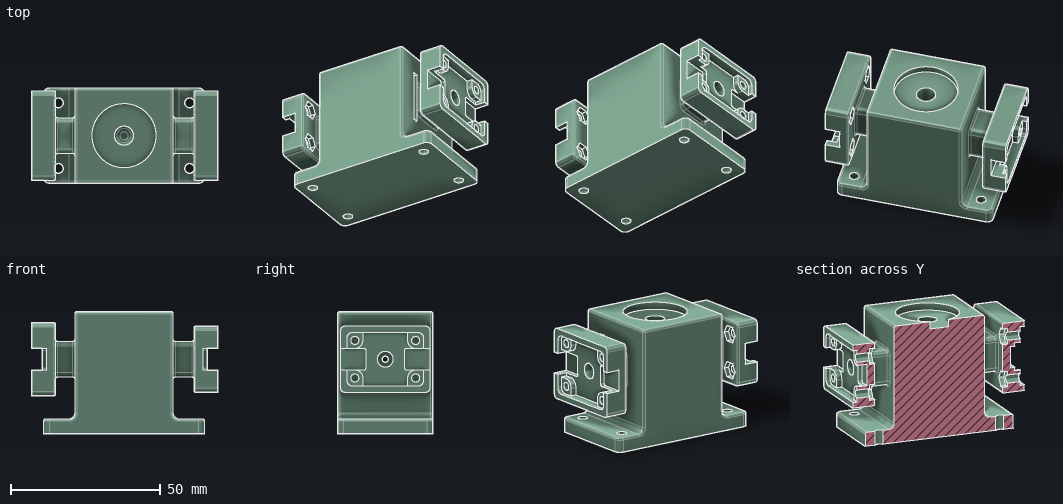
import cadquery as cq
import math

BASE_LENGTH = 54.0
DEPTH = 32.0
BASE_HEIGHT = 5.0
BLOCK_LENGTH = 33.0
TOTAL_HEIGHT = 41.0
BASE_CORNER_RADIUS = 2.0
STEP_FILLET = 2.0
EDGE_FILLET = 0.75
MOUNT_HOLE_DIAMETER = 3.2
MOUNT_HOLE_X = 22.0
MOUNT_HOLE_Y = 11.0

RECESS_DIAMETER = 21.5
RECESS_DEPTH = 2.5
TAPER_TOP_DIAMETER = 6.4
TAPER_BOTTOM_DIAMETER = 4.75
TAPER_FLOOR_DIAMETER = 2.7
TAPER_DEPTH = 10.0

AXIS_HEIGHT = 25.0
PLATE_THICKNESS = 8.0
PLATE_WIDTH = 30.0
PLATE_CORNER_RADIUS = 1.5
PLATE_EDGE_FILLET = 0.5
LEFT_PLATE_HEIGHT = 24.6
RIGHT_PLATE_HEIGHT = 22.2
LEFT_ARM_LENGTH = 6.5
RIGHT_ARM_LENGTH = 7.0
ARM_SIZE = 12.0
ARM_CORNER_RADIUS = 1.5
ARM_END_FILLET = 0.7

PLATE_WALL = 2.1
POCKET_DEPTH = 3.5
POCKET_CORNER_RADIUS = 2.0
BOSS_SIZE = 5.4
BOSS_HEIGHT = 2.0
BOSS_CORNER_RADIUS = BOSS_SIZE / 2
SCREW_HOLE_DIAMETER = 2.7
NUT_ACROSS_FLATS = 5.3
NUT_DEPTH = 1.75
NOTCH_HEIGHT = 7.3
NOTCH_LENGTH = 8.5
NOTCH_DEPTH = 5.0
NOTCH_CORNER_RADIUS = 0.7

ARM_BORE_DIAMETER = 5.3
CROSS_BORE_DIAMETER = 2.0

SLOT_WIDTH = 1.75
SLOT_CENTER_Y = 7.6
SLOT_LENGTH = 18.0
SLOT_DEPTH = 2.0

SELECT_MARGIN = 0.1


def make_body():
    """Block on a flange, with a fillet at each step and rounded outer edges."""
    half_base = BASE_LENGTH / 2
    half_block = BLOCK_LENGTH / 2
    profile = [
        (-half_base, 0),
        (half_base, 0),
        (half_base, BASE_HEIGHT),
        (half_block, BASE_HEIGHT),
        (half_block, TOTAL_HEIGHT),
        (-half_block, TOTAL_HEIGHT),
        (-half_block, BASE_HEIGHT),
        (-half_base, BASE_HEIGHT),
    ]
    body = cq.Workplane("XZ").polyline(profile).close().extrude(DEPTH / 2, both=True)

    step_corners = cq.selectors.BoxSelector(
        (-half_block - SELECT_MARGIN, -DEPTH, BASE_HEIGHT - SELECT_MARGIN),
        (half_block + SELECT_MARGIN, DEPTH, BASE_HEIGHT + SELECT_MARGIN),
    )
    body = body.edges("|Y").edges(step_corners).fillet(STEP_FILLET)
    body = body.edges("|Z").edges("<X or >X").fillet(BASE_CORNER_RADIUS)
    above_bottom = cq.selectors.BoxSelector(
        (-BASE_LENGTH, -DEPTH, BASE_HEIGHT - SELECT_MARGIN),
        (BASE_LENGTH, DEPTH, TOTAL_HEIGHT + SELECT_MARGIN),
    )
    side_outline = body.faces("<Y or >Y").edges(above_bottom)
    body = side_outline.add(body.faces(">Z").edges()).fillet(EDGE_FILLET)

    return (
        body.faces("<Z")
        .workplane(origin=(0, 0, 0))
        .rect(2 * MOUNT_HOLE_X, 2 * MOUNT_HOLE_Y, forConstruction=True)
        .vertices()
        .hole(MOUNT_HOLE_DIAMETER)
    )


def make_top_recess():
    """Revolved cutter: wide flat recess above a tapered hole with a rounded bottom."""
    floor_z = TOTAL_HEIGHT - RECESS_DEPTH
    bottom_z = floor_z - TAPER_DEPTH
    floor_radius = TAPER_FLOOR_DIAMETER / 2
    wall_radius = TAPER_BOTTOM_DIAMETER / 2
    round_radius = wall_radius - floor_radius
    arc_middle = (
        floor_radius + round_radius * math.sin(math.pi / 4),
        bottom_z + round_radius * (1 - math.cos(math.pi / 4)),
    )
    return (
        cq.Workplane("XZ")
        .moveTo(0, bottom_z)
        .lineTo(floor_radius, bottom_z)
        .threePointArc(arc_middle, (wall_radius, bottom_z + round_radius))
        .lineTo(TAPER_TOP_DIAMETER / 2, floor_z)
        .lineTo(RECESS_DIAMETER / 2, floor_z)
        .lineTo(RECESS_DIAMETER / 2, TOTAL_HEIGHT)
        .lineTo(0, TOTAL_HEIGHT)
        .close()
        .revolve(360, (0, 0, 0), (0, 1, 0))
    )


def make_bracket(plate_height, arm_length):
    """Plate and arm standing on the XY plane: Z runs outward from the block, Y is height."""
    outer_z = arm_length + PLATE_THICKNESS
    pocket_floor_z = outer_z - POCKET_DEPTH
    pocket_width = PLATE_WIDTH - 2 * PLATE_WALL
    pocket_height = plate_height - 2 * PLATE_WALL

    plate = (
        cq.Workplane("XY", origin=(0, 0, arm_length))
        .rect(PLATE_WIDTH, plate_height)
        .extrude(PLATE_THICKNESS)
        .edges("|Z")
        .fillet(PLATE_CORNER_RADIUS)
        .faces("<Z")
        .edges()
        .fillet(PLATE_EDGE_FILLET)
    )
    pocket = (
        cq.Workplane("XY", origin=(0, 0, pocket_floor_z))
        .rect(pocket_width, pocket_height)
        .extrude(POCKET_DEPTH)
        .edges("|Z")
        .fillet(POCKET_CORNER_RADIUS)
    )
    screw_offset_x = (pocket_width - BOSS_SIZE) / 2
    screw_offset_y = (pocket_height - BOSS_SIZE) / 2
    screw_points = [(i * screw_offset_x, j * screw_offset_y) for i in (-1, 1) for j in (-1, 1)]
    bosses = (
        cq.Workplane("XY", origin=(0, 0, pocket_floor_z))
        .pushPoints(screw_points)
        .rect(BOSS_SIZE, BOSS_SIZE)
        .extrude(BOSS_HEIGHT)
    )
    inner_corners = cq.selectors.BoxSelector(
        (-screw_offset_x, -screw_offset_y, 0), (screw_offset_x, screw_offset_y, outer_z)
    )
    bosses = bosses.edges("|Z").edges(inner_corners).fillet(BOSS_CORNER_RADIUS)
    plate = plate.cut(pocket.cut(bosses))

    for side in (-1, 1):
        inner_end = side * (PLATE_WIDTH / 2 - NOTCH_LENGTH)
        notch = (
            cq.Workplane("XY", origin=(inner_end, 0, outer_z - NOTCH_DEPTH))
            .center(side * NOTCH_LENGTH / 2, 0)
            .rect(NOTCH_LENGTH, NOTCH_HEIGHT)
            .extrude(NOTCH_DEPTH)
            .edges("|Z")
            .edges("<X" if side > 0 else ">X")
            .fillet(NOTCH_CORNER_RADIUS)
        )
        plate = plate.cut(notch)

    arm = (
        cq.Workplane("XY")
        .rect(ARM_SIZE, ARM_SIZE)
        .extrude(arm_length)
        .edges("|Z")
        .fillet(ARM_CORNER_RADIUS)
    )
    bracket = plate.union(arm)
    half_arm = ARM_SIZE / 2
    arm_joint = cq.selectors.BoxSelector(
        (-half_arm - SELECT_MARGIN, -half_arm - SELECT_MARGIN, arm_length - SELECT_MARGIN),
        (half_arm + SELECT_MARGIN, half_arm + SELECT_MARGIN, arm_length + SELECT_MARGIN),
    )
    bracket = bracket.edges(arm_joint).fillet(ARM_END_FILLET)

    bore = cq.Workplane("XY").circle(ARM_BORE_DIAMETER / 2).extrude(outer_z)
    screw_holes = (
        cq.Workplane("XY", origin=(0, 0, arm_length))
        .pushPoints(screw_points)
        .circle(SCREW_HOLE_DIAMETER / 2)
        .extrude(PLATE_THICKNESS)
    )
    nut_pockets = (
        cq.Workplane("XY", origin=(0, 0, arm_length))
        .pushPoints(screw_points)
        .polygon(6, NUT_ACROSS_FLATS / math.cos(math.pi / 6))
        .extrude(NUT_DEPTH)
    )
    return bracket.cut(bore).cut(screw_holes).cut(nut_pockets)


def place_bracket(bracket, side):
    """Put a bracket's arm against the block face on the given side (-1 or +1 along X)."""
    face = cq.Plane(
        origin=(side * BLOCK_LENGTH / 2, 0, AXIS_HEIGHT),
        xDir=(0, side, 0),
        normal=(side, 0, 0),
    )
    return cq.Workplane(bracket.val().moved(cq.Location(face)))


def fillet_arm_root(part, side):
    """Blend the arm into the block face."""
    half_arm = ARM_SIZE / 2
    face_x = side * BLOCK_LENGTH / 2
    root = cq.selectors.BoxSelector(
        (face_x - SELECT_MARGIN, -half_arm - SELECT_MARGIN, AXIS_HEIGHT - half_arm - SELECT_MARGIN),
        (face_x + SELECT_MARGIN, half_arm + SELECT_MARGIN, AXIS_HEIGHT + half_arm + SELECT_MARGIN),
    )
    bore_rim = cq.selectors.BoxSelector(
        (face_x - SELECT_MARGIN, -SELECT_MARGIN, AXIS_HEIGHT - SELECT_MARGIN),
        (face_x + SELECT_MARGIN, SELECT_MARGIN, AXIS_HEIGHT + SELECT_MARGIN),
    )
    return part.edges(root - bore_rim).fillet(ARM_END_FILLET)


def make_slot():
    """Cutter for the upright slot, centred on the arm axis height."""
    return cq.Workplane("XY").box(SLOT_DEPTH, SLOT_WIDTH, SLOT_LENGTH).translate(
        (-BLOCK_LENGTH / 2 + SLOT_DEPTH / 2, SLOT_CENTER_Y, AXIS_HEIGHT)
    )


part = make_body().cut(make_top_recess())
for side, plate_height, arm_length in (
    (-1, LEFT_PLATE_HEIGHT, LEFT_ARM_LENGTH),
    (1, RIGHT_PLATE_HEIGHT, RIGHT_ARM_LENGTH),
):
    part = part.union(place_bracket(make_bracket(plate_height, arm_length), side))
    part = fillet_arm_root(part, side)

cross_bore = cq.Workplane("YZ", origin=(0, 0, AXIS_HEIGHT)).circle(CROSS_BORE_DIAMETER / 2)
result = part.cut(cross_bore.extrude(BLOCK_LENGTH, both=True)).cut(make_slot())